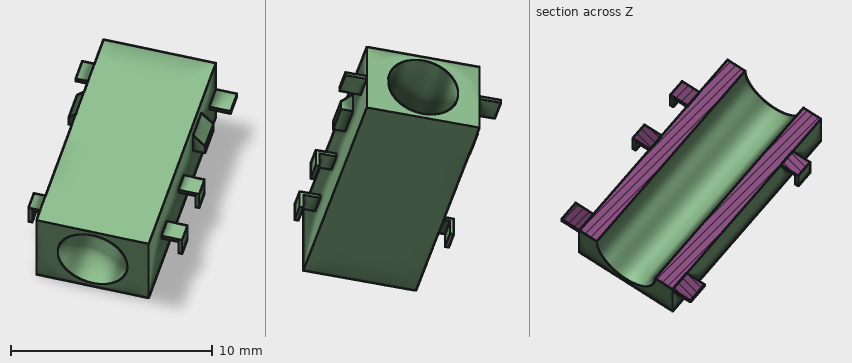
import cadquery as cq

HOUSING_WIDTH = 5.8
HOUSING_LENGTH = 12.4
HOUSING_HEIGHT = 4.1
BORE_DIAMETER = 3.6
WALL_X = HOUSING_WIDTH / 2
BACK_Y = HOUSING_LENGTH / 2

OVERALL_WIDTH = 8.0
TERMINAL_TOP_Z = 0.07
TERMINAL_THICKNESS = 0.2
FLAT_REACH = (OVERALL_WIDTH - HOUSING_WIDTH) / 2
FLAT_WIDTH = 1.2
BENT_REACH = 1.07
BENT_WIDTH = 1.0
BENT_HEIGHT = 1.04
FRONT_BENT_Y = BACK_Y - 9.55
MIDDLE_BENT_Y = BACK_Y - 6.4

BOSS_REACH = 0.62
BOSS_LENGTH = 1.54
BOSS_SIDE_HEIGHT = 0.53
BOSS_BOTTOM_Z = TERMINAL_TOP_Z
BOSS_Y = BACK_Y - 3.45

LEFT = -1
RIGHT = 1


def extrude_profile(points, center_y, width):
    """Extrude an XZ outline along Y, centred on center_y."""
    outline = cq.Workplane("XZ", origin=(0, center_y, 0)).polyline(points).close()
    return outline.extrude(width / 2, both=True)


def make_boss(side):
    wall_x = side * WALL_X
    outer_x = side * (WALL_X + BOSS_REACH)
    shoulder_z = BOSS_BOTTOM_Z + BOSS_SIDE_HEIGHT
    points = [
        (wall_x, BOSS_BOTTOM_Z),
        (outer_x, BOSS_BOTTOM_Z),
        (outer_x, shoulder_z),
        (wall_x, shoulder_z + BOSS_REACH),
    ]
    return extrude_profile(points, BOSS_Y, BOSS_LENGTH)


def make_housing():
    """Rectangular block with a boss on each side and a bore from end to end."""
    block = cq.Workplane("XY").box(HOUSING_WIDTH, HOUSING_LENGTH, HOUSING_HEIGHT)
    for side in (LEFT, RIGHT):
        block = block.union(make_boss(side))
    bore = cq.Workplane("XZ").circle(BORE_DIAMETER / 2).extrude(HOUSING_LENGTH / 2, both=True)
    return block.cut(bore)


def make_flat_terminal(side):
    """Straight tab, flush with the back end of the housing."""
    wall_x = side * WALL_X
    outer_x = side * (WALL_X + FLAT_REACH)
    bottom_z = TERMINAL_TOP_Z - TERMINAL_THICKNESS
    points = [
        (wall_x, TERMINAL_TOP_Z),
        (outer_x, TERMINAL_TOP_Z),
        (outer_x, bottom_z),
        (wall_x, bottom_z),
    ]
    return extrude_profile(points, BACK_Y - FLAT_WIDTH / 2, FLAT_WIDTH)


def make_bent_terminal(side, center_y):
    """L-shaped tab with its outer leg turned down."""
    wall_x = side * WALL_X
    outer_x = side * (WALL_X + BENT_REACH)
    leg_inner_x = outer_x - side * TERMINAL_THICKNESS
    arm_bottom_z = TERMINAL_TOP_Z - TERMINAL_THICKNESS
    leg_bottom_z = TERMINAL_TOP_Z - BENT_HEIGHT
    points = [
        (wall_x, TERMINAL_TOP_Z),
        (outer_x, TERMINAL_TOP_Z),
        (outer_x, leg_bottom_z),
        (leg_inner_x, leg_bottom_z),
        (leg_inner_x, arm_bottom_z),
        (wall_x, arm_bottom_z),
    ]
    return extrude_profile(points, center_y, BENT_WIDTH)


bent_places = [(LEFT, FRONT_BENT_Y), (RIGHT, FRONT_BENT_Y), (RIGHT, MIDDLE_BENT_Y)]

housing = make_housing()
flat_terminals = [make_flat_terminal(side).solids().val() for side in (LEFT, RIGHT)]
bent_terminals = [make_bent_terminal(side, y).solids().val() for side, y in bent_places]

result = cq.Compound.makeCompound([housing.solids().val(), *flat_terminals, *bent_terminals])